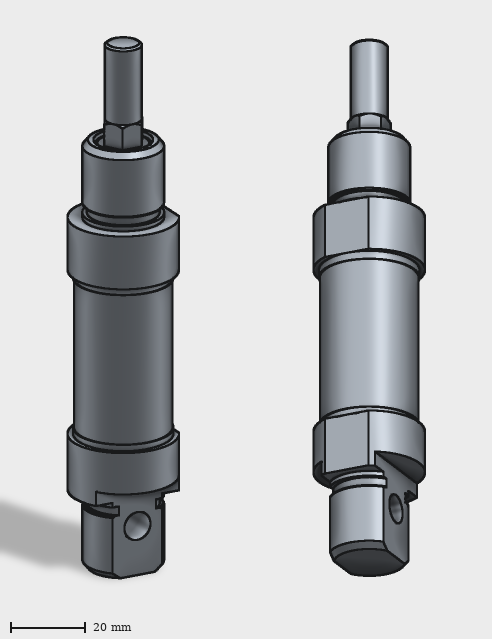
import cadquery as cq
import math


TOTAL_LENGTH = 150.0
COVER_DIAMETER = 30.0
COVER_FLAT_Y = 13.5

GROOVE_BOTTOM_Z = 18.2
GROOVE_TOP_Z = 20.7
REAR_COVER_BOTTOM_Z = 22.0
CLEVIS_FLAT_TOP_Z = 26.1
REAR_COVER_TOP_Z = 38.0
BARREL_BOTTOM_Z = 39.8
BARREL_TOP_Z = 82.6
FRONT_COVER_BOTTOM_Z = 84.9
FRONT_COVER_TOP_Z = 100.0
UNDERCUT_BOTTOM_Z = 101.4
UNDERCUT_TOP_Z = 103.8
NOSE_TOP_Z = 122.2
HEX_TOP_Z = 128.2

BARREL_DIAMETER = 26.5
COLLAR_DIAMETER = 27.0

NECK_DIAMETER = 22.0
UNDERCUT_DIAMETER = 19.6
NECK_END_DIAMETER = 19.0
NECK_CHAMFER_HEIGHT = 1.8
UNDERCUT_CHAMFER = 0.5

BORE_DIAMETER = 14.7
COUNTERSINK_DIAMETER = 16.0
COUNTERSINK_DEPTH = 0.9

CLEVIS_THICKNESS = 16.0
PIN_HOLE_DIAMETER = 8.0
PIN_HOLE_Z = 14.1

SHANK_DIAMETER = 14.0
SHANK_TOP_Z = NOSE_TOP_Z - COUNTERSINK_DEPTH
ROD_DIAMETER = 10.0
ROD_TIP_DIAMETER = 8.5
ROD_TIP_HEIGHT = 0.6
HEX_WIDTH = 10.0


def cylinder(diameter, bottom_z, top_z):
    return cq.Workplane("XY").workplane(offset=bottom_z).circle(diameter / 2).extrude(top_z - bottom_z)


def revolve_profile(points):
    """Revolve a closed (radius, z) outline about the Z axis."""
    return cq.Workplane("XZ").polyline(points).close().revolve(360, (0, 0), (0, 1))


def make_cover(bottom_z, top_z):
    """Round cover block with one flat on its +Y side."""
    cover = cylinder(COVER_DIAMETER, bottom_z, top_z)
    kept_center_y = COVER_FLAT_Y - COVER_DIAMETER / 2
    kept = (
        cq.Workplane("XY")
        .workplane(offset=bottom_z)
        .center(0, kept_center_y)
        .rect(COVER_DIAMETER, COVER_DIAMETER)
        .extrude(top_z - bottom_z)
    )
    return cover.intersect(kept)


def make_neck(root_z, groove_near_z, groove_far_z, end_z):
    """Neck that leaves a cover at root_z: flange, undercut, then a shank chamfered at both ends."""
    outward = math.copysign(1, end_z - root_z)
    neck_radius = NECK_DIAMETER / 2
    undercut_radius = UNDERCUT_DIAMETER / 2
    return revolve_profile(
        [
            (0, root_z),
            (neck_radius, root_z),
            (neck_radius, groove_near_z),
            (undercut_radius, groove_near_z),
            (undercut_radius, groove_far_z),
            (neck_radius - UNDERCUT_CHAMFER, groove_far_z),
            (neck_radius, groove_far_z + outward * UNDERCUT_CHAMFER),
            (neck_radius, end_z - outward * NECK_CHAMFER_HEIGHT),
            (NECK_END_DIAMETER / 2, end_z),
            (0, end_z),
        ]
    )


def make_front_cover():
    cover = make_cover(FRONT_COVER_BOTTOM_Z, FRONT_COVER_TOP_Z)
    collar = cylinder(COLLAR_DIAMETER, BARREL_TOP_Z, FRONT_COVER_BOTTOM_Z)
    nose = make_neck(FRONT_COVER_TOP_Z, UNDERCUT_BOTTOM_Z, UNDERCUT_TOP_Z, NOSE_TOP_Z)
    rod_bore = revolve_profile(
        [
            (0, BARREL_TOP_Z),
            (BORE_DIAMETER / 2, BARREL_TOP_Z),
            (BORE_DIAMETER / 2, NOSE_TOP_Z - COUNTERSINK_DEPTH),
            (COUNTERSINK_DIAMETER / 2, NOSE_TOP_Z),
            (0, NOSE_TOP_Z),
        ]
    )
    return cover.union(collar).union(nose).cut(rod_bore)


def make_barrel():
    return cylinder(BARREL_DIAMETER, BARREL_BOTTOM_Z, BARREL_TOP_Z)


def make_rear_cover():
    cover = make_cover(REAR_COVER_BOTTOM_Z, REAR_COVER_TOP_Z)
    collar = cylinder(COLLAR_DIAMETER, REAR_COVER_TOP_Z, BARREL_BOTTOM_Z)
    stem = make_neck(REAR_COVER_BOTTOM_Z, GROOVE_TOP_Z, GROOVE_BOTTOM_Z, 0)
    body = cover.union(collar).union(stem)

    side_depth = (COVER_DIAMETER - CLEVIS_THICKNESS) / 2
    for side in (-1, 1):
        waste = (
            cq.Workplane("XY")
            .center(side * (CLEVIS_THICKNESS + side_depth) / 2, 0)
            .rect(side_depth, COVER_DIAMETER)
            .extrude(CLEVIS_FLAT_TOP_Z)
        )
        body = body.cut(waste)

    pin_hole = (
        cq.Workplane("YZ")
        .center(0, PIN_HOLE_Z)
        .circle(PIN_HOLE_DIAMETER / 2)
        .extrude(CLEVIS_THICKNESS / 2, both=True)
    )
    return body.cut(pin_hole)


def make_rod():
    """Round shank in the cover bore, then a hexagon with chamfered corners and a round tip."""
    shank = cylinder(SHANK_DIAMETER, BARREL_TOP_Z, SHANK_TOP_Z)
    rod_radius = ROD_DIAMETER / 2
    corner_diameter = HEX_WIDTH / math.cos(math.pi / 6)
    corner_radius = corner_diameter / 2
    hexagon = (
        cq.Workplane("XY")
        .workplane(offset=SHANK_TOP_Z)
        .transformed(rotate=(0, 0, 30))
        .polygon(6, corner_diameter)
        .extrude(HEX_TOP_Z - SHANK_TOP_Z)
    )
    corner_cone = revolve_profile(
        [
            (0, SHANK_TOP_Z),
            (corner_radius, SHANK_TOP_Z),
            (corner_radius, HEX_TOP_Z - (corner_radius - rod_radius)),
            (rod_radius, HEX_TOP_Z),
            (0, HEX_TOP_Z),
        ]
    )
    tip = revolve_profile(
        [
            (0, HEX_TOP_Z),
            (rod_radius, HEX_TOP_Z),
            (rod_radius, TOTAL_LENGTH - ROD_TIP_HEIGHT),
            (ROD_TIP_DIAMETER / 2, TOTAL_LENGTH),
            (0, TOTAL_LENGTH),
        ]
    )
    return shank.union(hexagon.intersect(corner_cone)).union(tip)


front_cover = make_front_cover()
barrel = make_barrel()
rear_cover = make_rear_cover()
rod = make_rod()

result = cq.Compound.makeCompound([front_cover.val(), barrel.val(), rear_cover.val(), rod.val()])